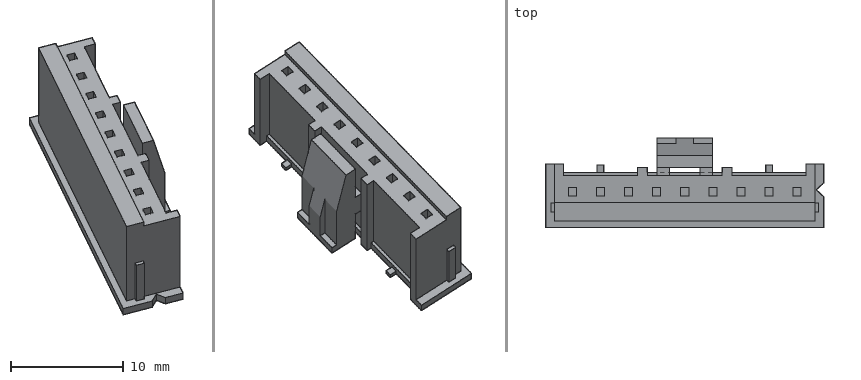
import cadquery as cq

flange_length = 24.8
flange_height = 0.82
flange_back = 4.94
notch_center_y = 3.37
notch_depth = 0.67
notch_half_width = 0.62

body_length = 23.25
flange_margin = (flange_length - body_length) / 2
body_front = 0.6
body_back = 4.65
deck_height = 10.0
end_wall_thickness = 0.82
end_wall_back = 5.68

total_height = 10.5
ridge_back = 2.23

pin_count = 9
pin_pitch = 2.5
pin_hole_size = 0.72
pin_hole_depth = 2.48
pin_row_y = 3.2

side_rib_front = 1.41
side_rib_back = 2.18
side_rib_top = 5.45
side_rib_projection = 0.3
guard_rib_center_x = 3.77
guard_rib_width = 0.9
guard_rib_back = 5.38

peg_center_x = 3 * pin_pitch
peg_width = 0.62
peg_back = 5.6
peg_height = flange_height / 2

latch_width = 4.98
latch_front = 5.35
latch_tip_back = 6.42
latch_back = 8.0
latch_slope_bottom = 3.67
latch_center_rib_width = 1.59
latch_recess_depth = 0.52
arm_width = 1.15
arm_bottom = latch_slope_bottom
arm_top = 6.2


def block(x_range, y_range, z_range):
    """Box spanning the given (low, high) ranges."""
    size = [high - low for low, high in (x_range, y_range, z_range)]
    corner = (x_range[0], y_range[0], z_range[0])
    return cq.Workplane("XY").box(*size, centered=False).translate(corner)


def centered(width, center=0.0):
    """(low, high) range of a width about a center."""
    return (center - width / 2, center + width / 2)


def make_flange():
    flange = block(centered(flange_length), (0, flange_back), (0, flange_height))
    edge_x = flange_length / 2
    notch = (
        cq.Workplane("XY")
        .moveTo(edge_x - notch_depth, notch_center_y)
        .lineTo(edge_x, notch_center_y + notch_half_width)
        .lineTo(edge_x, notch_center_y - notch_half_width)
        .close()
        .extrude(flange_height)
    )
    return flange.cut(notch)


def make_body():
    body = block(centered(body_length), (body_front, body_back), (0, deck_height))
    ridge = block(centered(body_length), (body_front, ridge_back), (0, total_height))
    body = body.union(ridge)
    for side in (-1, 1):
        wall_x = side * (body_length - end_wall_thickness) / 2
        wall = block(centered(end_wall_thickness, wall_x), (body_front, end_wall_back), (0, deck_height))
        corner_x = side * (flange_length - flange_margin) / 2
        corner = block(centered(flange_margin, corner_x), (body_back, end_wall_back), (0, flange_height))
        body = body.union(wall).union(corner)
    return body


def make_ribs_and_pegs():
    side_rib_length = body_length + 2 * side_rib_projection
    ribs = block(centered(side_rib_length), (side_rib_front, side_rib_back), (0, side_rib_top))
    for side in (-1, 1):
        guard_x = centered(guard_rib_width, side * guard_rib_center_x)
        ribs = ribs.union(block(guard_x, (ridge_back, guard_rib_back), (0, deck_height)))
        peg_x = centered(peg_width, side * peg_center_x)
        ribs = ribs.union(block(peg_x, (ridge_back, peg_back), (0, peg_height)))
    return ribs


def make_latch():
    profile = [
        (latch_front, 0),
        (latch_back, 0),
        (latch_back, latch_slope_bottom),
        (latch_tip_back, total_height),
        (latch_front, total_height),
    ]
    latch = cq.Workplane("YZ").polyline(profile).close().extrude(latch_width / 2, both=True)
    recess_width = (latch_width - latch_center_rib_width) / 2
    for side in (-1, 1):
        recess_x = centered(recess_width, side * (latch_width - recess_width) / 2)
        recess_y = (latch_back - latch_recess_depth, latch_back)
        latch = latch.cut(block(recess_x, recess_y, (flange_height, total_height)))
        arm_x = centered(arm_width, side * (latch_width - arm_width) / 2)
        latch = latch.union(block(arm_x, (body_back, latch_front), (arm_bottom, arm_top)))
    return latch


def make_pin_holes():
    first_x = -(pin_count - 1) * pin_pitch / 2
    holes = cq.Workplane("XY")
    for index in range(pin_count):
        hole_x = centered(pin_hole_size, first_x + index * pin_pitch)
        hole_y = centered(pin_hole_size, pin_row_y)
        holes = holes.add(block(hole_x, hole_y, (deck_height - pin_hole_depth, deck_height)))
    return holes.combine()


result = make_flange().union(make_body()).union(make_ribs_and_pegs()).union(make_latch())
result = result.cut(make_pin_holes())